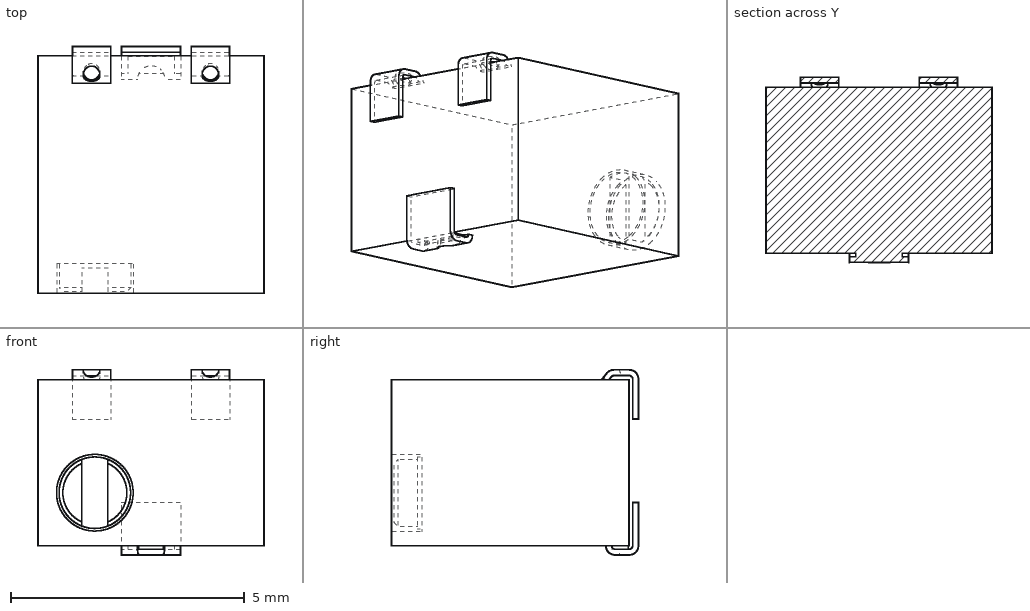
import cadquery as cq
import math

BODY_X = 4.83
BODY_Y = 5.08
BODY_Z = 3.55
BACK = BODY_Y / 2
FRONT = -BODY_Y / 2

SHEET = 0.127
INNER_RADIUS = 0.073
OUTER_RADIUS = INNER_RADIUS + SHEET
EMBED = 0.1

TOP_PITCH = 2.54
TOP_WIDTH = 0.825
TOP_RISE = 0.213
TOP_FLAT = 0.325
TOP_BEND = 52
TOP_LEG_END = 0.845
TOP_HOLE_DIAMETER = 0.36
TOP_HOLE_SETBACK = 0.422
TOP_HOLE_TILT = TOP_BEND / 2

BOTTOM_WIDTH = 1.27
BOTTOM_RISE = 0.197
BOTTOM_FLAT = 0.3
BOTTOM_BEND = 90
BOTTOM_LEG_END = 0.93
NOTCH_WIDTH = 0.58
SPACER_WIDTH = 1.0
SPACER_INSET = 0.015

SCREW_X = -1.2
SCREW_Z = -0.64
POCKET_DIAMETER = 1.64
POCKET_DEPTH = 0.65
SCREW_DIAMETER = 1.53
SCREW_RECESS = 0.05
SCREW_CHAMFER = 0.08
SLOT_WIDTH = 0.55
SLOT_DEPTH = 0.5


def polar(center, radius, degrees):
    """Point at an angle measured from +Y towards +Z."""
    angle = math.radians(degrees)
    return (center[0] + radius * math.cos(angle), center[1] + radius * math.sin(angle))


def bent_strip(width, rise, flat, bend, leg_end):
    """Terminal on the housing top: rear leg, flat, front bend and a tail that enters the housing."""
    bend_z = BODY_Z / 2 + rise - OUTER_RADIUS
    rear = (BACK, bend_z)
    front = (BACK - flat, bend_z)
    leg_tip_z = BODY_Z / 2 - leg_end
    tail_angle = 90 + bend
    inner_end = polar(front, INNER_RADIUS, tail_angle)
    tail_length = (inner_end[1] - BODY_Z / 2 + EMBED) / math.sin(math.radians(bend))
    inner_tip = polar(inner_end, tail_length, tail_angle + 90)
    outer_tip = polar(inner_tip, SHEET, tail_angle)

    return (
        cq.Workplane("YZ")
        .moveTo(BACK + OUTER_RADIUS, leg_tip_z)
        .lineTo(*polar(rear, OUTER_RADIUS, 0))
        .threePointArc(polar(rear, OUTER_RADIUS, 45), polar(rear, OUTER_RADIUS, 90))
        .lineTo(*polar(front, OUTER_RADIUS, 90))
        .threePointArc(
            polar(front, OUTER_RADIUS, 90 + bend / 2),
            polar(front, OUTER_RADIUS, tail_angle),
        )
        .lineTo(*outer_tip)
        .lineTo(*inner_tip)
        .lineTo(*inner_end)
        .threePointArc(polar(front, INNER_RADIUS, 90 + bend / 2), polar(front, INNER_RADIUS, 90))
        .lineTo(*polar(rear, INNER_RADIUS, 90))
        .threePointArc(polar(rear, INNER_RADIUS, 45), polar(rear, INNER_RADIUS, 0))
        .lineTo(BACK + INNER_RADIUS, leg_tip_z)
        .close()
        .extrude(width / 2, both=True)
    )


def top_terminal():
    """Narrow terminal with a hole across its bend, square to the middle of the bend."""
    strip = bent_strip(TOP_WIDTH, TOP_RISE, TOP_FLAT, TOP_BEND, TOP_LEG_END)
    hole = (
        cq.Workplane("XY")
        .circle(TOP_HOLE_DIAMETER / 2)
        .extrude(OUTER_RADIUS * 2, both=True)
        .rotate((0, 0, 0), (1, 0, 0), TOP_HOLE_TILT)
        .translate((0, BACK - TOP_HOLE_SETBACK, BODY_Z / 2 + TOP_RISE))
    )
    return strip.cut(hole)


def bottom_terminal():
    """Wide terminal with a round notch in its bend and a spacer filling the gap to the housing."""
    strip = bent_strip(BOTTOM_WIDTH, BOTTOM_RISE, BOTTOM_FLAT, BOTTOM_BEND, BOTTOM_LEG_END)
    notch = (
        cq.Workplane("XY", origin=(0, BACK - BOTTOM_FLAT - OUTER_RADIUS, BODY_Z / 2))
        .circle(NOTCH_WIDTH / 2)
        .extrude(OUTER_RADIUS * 2)
    )
    gap = BOTTOM_RISE - SHEET
    spacer_length = BOTTOM_FLAT + INNER_RADIUS - SPACER_INSET
    spacer = (
        cq.Workplane("XY", origin=(0, BACK - SPACER_INSET - spacer_length / 2, BODY_Z / 2))
        .box(SPACER_WIDTH, spacer_length, gap, centered=(True, True, False))
    )
    return strip.cut(notch).union(spacer).mirror("XY")


def front_plane(depth):
    """Plane facing out of the housing front on the screw axis, sunk by the given depth."""
    return cq.Workplane(
        cq.Plane(origin=(SCREW_X, FRONT + depth, SCREW_Z), xDir=(1, 0, 0), normal=(0, -1, 0))
    )


def adjustment_screw():
    """Chamfered, slotted screw standing on the pocket floor."""
    return (
        front_plane(POCKET_DEPTH)
        .circle(SCREW_DIAMETER / 2)
        .extrude(POCKET_DEPTH - SCREW_RECESS)
        .faces("<Y")
        .chamfer(SCREW_CHAMFER)
        .cut(front_plane(SCREW_RECESS).rect(SLOT_WIDTH, POCKET_DIAMETER).extrude(-SLOT_DEPTH))
    )


body = cq.Workplane("XY").box(BODY_X, BODY_Y, BODY_Z)
pocket = front_plane(0).circle(POCKET_DIAMETER / 2).extrude(-POCKET_DEPTH)

result = body.cut(pocket).union(adjustment_screw())
for side in (-1, 1):
    result = result.union(top_terminal().translate((side * TOP_PITCH / 2, 0, 0)))
result = result.union(bottom_terminal())